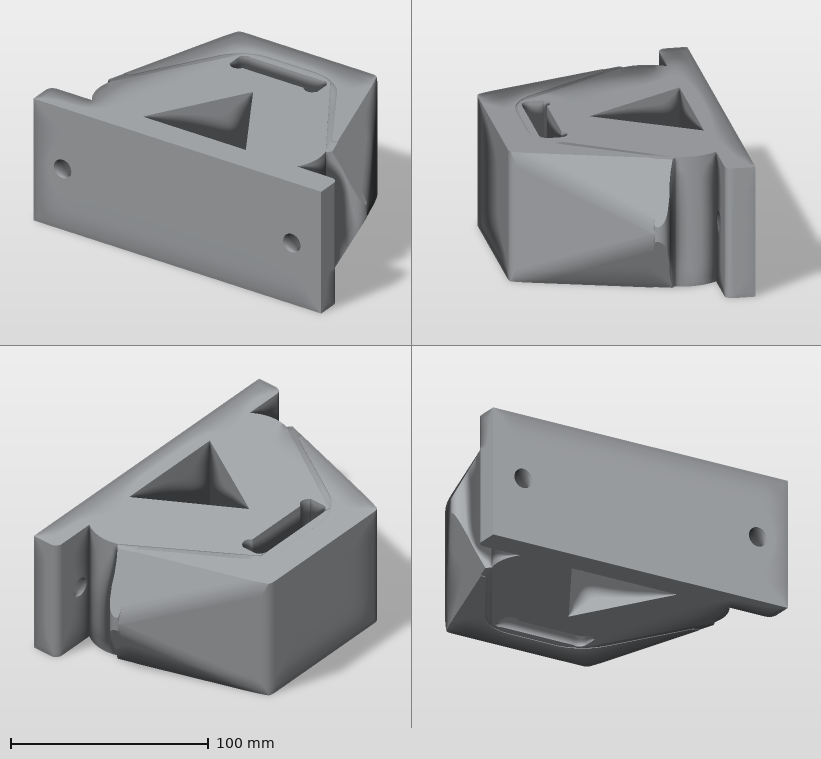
import cadquery as cq
import math

height = 70.0
half_height = height / 2
depth = 118.0

overlap = 1.8
ample = 528.0

plate_width = 176.0
plate_thickness = 15.3
plate_corner_radius = 4.0
bolt_hole_x = 70.0
bolt_hole_diameter = 10.5

neck_foot_x = 62.7
neck_bulge = (67.0, 28.7)
block_shoulder = (65.8, 36.8)
window_half_base = 31.5
window_apex_y = 68.3

slot_half_width = 26.8
slot_bottom_y = 86.2
slot_top_y = 98.4
slot_corner_radius = 4.2
relief_center_y = 88.2
post_diameter = 15.7

cap_half_top = 42.8
flank_angle = 60.0
flank_slope = math.tan(math.radians(flank_angle))
cap_top_radius = 6.3
cap_tip_y = 45.8
cap_tip_radius = 4.8
cap_rear = (68.1, 38.7)
cap_heel = (76.7, 42.2)
facet_apex_y = 41.2
facet_blend_radius = 18.5
blend_end_y = 50.7

flank_top_y = 140.8
flank_bottom_y = 26.4

recess_depth = 0.4
recess_top_y = 103.1
recess_half_top = 28.5
recess_foot = (62.0, 48.0)
recess_top_radius = 27.0
recess_foot_radius = 2.6
recess_half_width = 105.6


def flank_x(y):
    """Half width of the cap flank at depth y."""
    return cap_half_top + (depth - y) / flank_slope


def mirrored_outline(right_side):
    """Closed outline from its right-hand points and their mirror images."""
    left_side = [(-x, y) for x, y in reversed(right_side)]
    return right_side + left_side


def prism(outline):
    """Full-height prism, centred on z = 0."""
    return cq.Workplane("XY").polyline(outline).close().extrude(half_height, both=True)


def round_upright_edges(body, corner, radius):
    """Fillet the upright edges at a plan corner and at its mirror image."""
    for side in (-1, 1):
        edge = cq.selectors.NearestToPointSelector((side * corner[0], corner[1], 0))
        body = body.edges("|Z").edges(edge).fillet(radius)
    return body


def make_plate():
    plate = cq.Workplane("XY").box(plate_width, plate_thickness, height, centered=(True, False, True))
    plate = round_upright_edges(plate, (plate_width / 2, plate_thickness), plate_corner_radius)
    holes = (
        cq.Workplane("XZ")
        .pushPoints([(-bolt_hole_x, 0), (bolt_hole_x, 0)])
        .circle(bolt_hole_diameter / 2)
        .extrude(-plate_thickness)
    )
    return plate.cut(holes)


def make_block():
    """Bulging neck that carries a tapered core up to the top of the slot."""
    return (
        cq.Workplane("XY")
        .moveTo(-neck_foot_x, plate_thickness - overlap)
        .lineTo(neck_foot_x, plate_thickness - overlap)
        .lineTo(neck_foot_x, plate_thickness)
        .threePointArc(neck_bulge, block_shoulder)
        .lineTo(slot_half_width, slot_top_y)
        .lineTo(-slot_half_width, slot_top_y)
        .lineTo(-block_shoulder[0], block_shoulder[1])
        .threePointArc((-neck_bulge[0], neck_bulge[1]), (-neck_foot_x, plate_thickness))
        .close()
        .extrude(half_height, both=True)
    )


def make_faceted_body(blended):
    """Tapered body whose flanks are cut by two tilted facets above and two below.

    The edges between flanks and facets are rounded if blended, otherwise sharp.
    """
    body = prism(mirrored_outline([
        (flank_x(flank_bottom_y), flank_bottom_y),
        (flank_x(flank_top_y), flank_top_y),
    ]))
    start = cq.Vector(cap_half_top, depth, half_height)
    rear = cq.Vector(*cap_rear, half_height)
    apex = cq.Vector(flank_x(facet_apex_y), facet_apex_y, 0)
    facet_plane = cq.Plane(start, rear - start, (rear - start).cross(apex - start))
    waste = cq.Workplane(facet_plane).rect(ample, ample).extrude(depth)
    blend_middle = (start + apex) * 0.5
    for side in (-1, 1):
        body = body.cut(waste if side > 0 else waste.mirror("YZ"))
        if blended:
            edge_point = (side * blend_middle.x, blend_middle.y, blend_middle.z)
            edge = cq.selectors.NearestToPointSelector(edge_point)
            body = body.edges(edge).fillet(facet_blend_radius)
    return body.intersect(body.mirror("XY"))


def make_cap_profile():
    """Cap outline at full height: sloping flanks, rounded corners and a concave rear behind each tip."""
    tip = (flank_x(cap_tip_y), cap_tip_y)
    profile = (
        cq.Workplane("XY")
        .moveTo(*block_shoulder)
        .threePointArc(cap_rear, cap_heel)
        .lineTo(*tip)
        .lineTo(cap_half_top, depth)
        .lineTo(-cap_half_top, depth)
        .lineTo(-tip[0], tip[1])
        .lineTo(-cap_heel[0], cap_heel[1])
        .threePointArc((-cap_rear[0], cap_rear[1]), (-block_shoulder[0], block_shoulder[1]))
        .close()
        .extrude(half_height, both=True)
    )
    profile = round_upright_edges(profile, tip, cap_tip_radius)
    return round_upright_edges(profile, (cap_half_top, depth), cap_top_radius)


def make_cap():
    """Cap with blended flank edges that turn sharp near the tips."""
    profile = make_cap_profile()
    tip_zone = cq.Workplane("XY").box(ample, 2 * blend_end_y, height)
    blended_part = profile.intersect(make_faceted_body(blended=True))
    sharp_tips = profile.intersect(make_faceted_body(blended=False)).intersect(tip_zone)
    return blended_part.union(sharp_tips)


def make_recess(block):
    """Shallow pockets that leave the core block and the rim of the cap standing."""
    top_corner = (recess_half_top, recess_top_y)
    pocket = prism(mirrored_outline([
        (recess_half_width, plate_thickness),
        (recess_half_width, recess_foot[1]),
        recess_foot,
        top_corner,
    ]))
    pocket = round_upright_edges(pocket, recess_foot, recess_foot_radius)
    pocket = round_upright_edges(pocket, top_corner, recess_top_radius)
    neck_zone = cq.Workplane("XY").box(ample, 2 * block_shoulder[1], height)
    middle = cq.Workplane("XY").box(ample, ample, height - 2 * recess_depth)
    return pocket.cut(block).cut(neck_zone).cut(middle)


def make_slot():
    """Through slot with round reliefs in its lower corners."""
    slot = prism(mirrored_outline([(slot_half_width, slot_bottom_y), (slot_half_width, slot_top_y)]))
    slot = round_upright_edges(slot, (slot_half_width, slot_top_y), slot_corner_radius)
    relief_x = slot_half_width - slot_corner_radius
    reliefs = (
        cq.Workplane("XY")
        .pushPoints([(-relief_x, relief_center_y), (relief_x, relief_center_y)])
        .circle(slot_corner_radius)
        .extrude(half_height, both=True)
    )
    return slot.union(reliefs)


def make_window():
    return prism([
        (-window_half_base, plate_thickness),
        (window_half_base, plate_thickness),
        (0, window_apex_y),
    ])


def make_post():
    return (
        cq.Workplane("XZ", origin=(0, slot_bottom_y - overlap, 0))
        .circle(post_diameter / 2)
        .extrude(-(slot_top_y - slot_bottom_y + 2 * overlap))
    )


block = make_block()
body = make_cap().union(block).union(make_plate())
body = body.cut(make_recess(block)).cut(make_window()).cut(make_slot())
result = body.union(make_post())